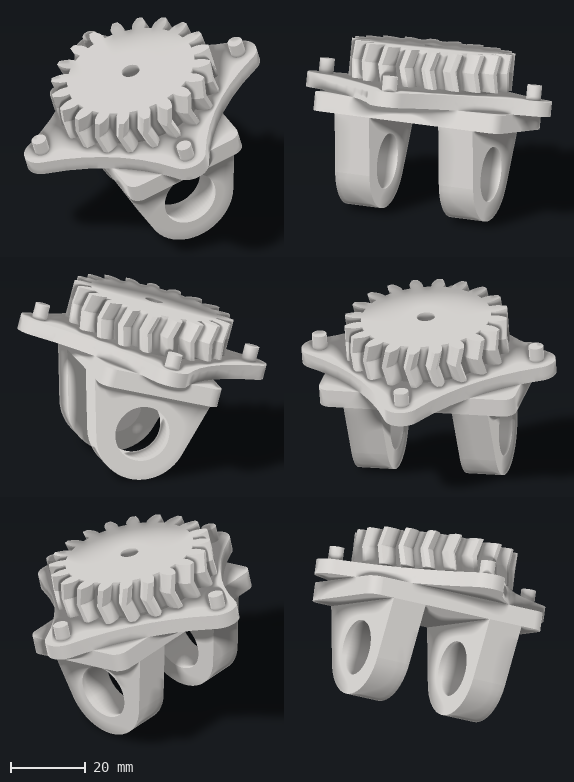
import cadquery as cq
import math

overall_span = 69.95
tilt_angle = 15.0
plate_bottom = 17.35

plate_thickness = 4.0
tip_radius = 5.05
side_arc_radius = 59.95
tip_offset = overall_span / 2 - tip_radius
arm_count = 4

pin_diameter = 4.0
pin_height = 4.0

block_length = 54.15
block_width = 33.8
block_height = 5.0
block_corner_radius = 3.15

lug_radius = 12.7
lug_hole_diameter = 15.0
lug_thickness = 9.9
lug_gap = 20.0

tooth_count = 20
root_diameter = 35.0
gear_height = 10.0
pressure_angle = 20.0
helix_angle = 15.0
hub_diameter = 34.0
hub_height = 1.0
bore_diameter = 5.0
bore_depth = 6.0
addendum_factor = 1.0
dedendum_factor = 1.25
flank_points = 5

module = root_diameter / (tooth_count - 2 * dedendum_factor)
pitch_radius = module * tooth_count / 2
outer_radius = pitch_radius + addendum_factor * module
root_radius = root_diameter / 2
base_radius = pitch_radius * math.cos(math.radians(pressure_angle))

plate_top = plate_bottom + plate_thickness
block_bottom = plate_bottom - block_height
gear_bottom = plate_top + hub_height


def polar(radius, angle):
    """Point at a radius and an angle in radians."""
    return (radius * math.cos(angle), radius * math.sin(angle))


def star_plate():
    """Four-pointed plate with round tips joined by concave arcs tangent to them."""
    centre_distance = tip_radius + side_arc_radius
    half_chord = tip_offset / math.sqrt(2)
    diagonal = half_chord + math.sqrt(centre_distance**2 - half_chord**2)
    arc_centre = diagonal / math.sqrt(2)
    tangent_angle = math.atan2(arc_centre, arc_centre - tip_offset)
    tangent_x, tangent_y = polar(tip_radius, tangent_angle)
    quarter = 2 * math.pi / arm_count

    def turned(x, y, index):
        return polar(math.hypot(x, y), math.atan2(y, x) + index * quarter)

    outline = cq.Workplane("XY", origin=(0, 0, plate_bottom)).moveTo(tip_offset + tangent_x, -tangent_y)
    side_middle = (diagonal - side_arc_radius) / math.sqrt(2)
    for index in range(arm_count):
        outline = outline.threePointArc(
            turned(tip_offset + tip_radius, 0, index),
            turned(tip_offset + tangent_x, tangent_y, index),
        )
        outline = outline.threePointArc(
            turned(side_middle, side_middle, index),
            turned(tip_offset + tangent_x, -tangent_y, index + 1),
        )
    return outline.close().extrude(plate_thickness)


def plate_pins():
    """One pin standing on each plate tip."""
    return (
        cq.Workplane("XY", origin=(0, 0, plate_top))
        .polarArray(tip_offset, 0, 360, arm_count)
        .circle(pin_diameter / 2)
        .extrude(pin_height)
    )


def mounting_block():
    """Rectangular block with rounded upright corners."""
    return (
        cq.Workplane("XY", origin=(0, 0, block_bottom))
        .rect(block_length, block_width)
        .extrude(block_height)
        .edges("|Z")
        .fillet(block_corner_radius)
    )


def pivot_lug(start_x):
    """Round-ended lug whose straight sides run from the block edges, tangent to the round end."""
    half_width = block_width / 2
    corner_distance = math.hypot(half_width, block_bottom)
    corner_angle = math.atan2(block_bottom, half_width)
    tangent_angle = corner_angle - math.acos(lug_radius / corner_distance)
    tangent_y, tangent_z = polar(lug_radius, tangent_angle)
    return (
        cq.Workplane("YZ", origin=(start_x, 0, 0))
        .moveTo(half_width, block_bottom)
        .lineTo(tangent_y, tangent_z)
        .threePointArc((0, -lug_radius), (-tangent_y, tangent_z))
        .lineTo(-half_width, block_bottom)
        .close()
        .moveTo(0, 0)
        .circle(lug_hole_diameter / 2)
        .extrude(lug_thickness)
    )


def make_mount():
    """Star plate, pins, block and both lugs as one solid."""
    mount = star_plate().union(plate_pins()).union(mounting_block())
    for start_x in (lug_gap / 2, -lug_gap / 2 - lug_thickness):
        mount = mount.union(pivot_lug(start_x))
    return mount


def involute(angle):
    """Involute function of a pressure angle in radians."""
    return math.tan(angle) - angle


def tooth_flank():
    """Points (radius, angle from the tooth centre line) along one involute flank."""
    half_tooth = math.pi / (2 * tooth_count) + involute(math.radians(pressure_angle))
    flank = []
    for step in range(flank_points):
        radius = base_radius + (outer_radius - base_radius) * step / (flank_points - 1)
        flank.append((radius, half_tooth - involute(math.acos(base_radius / radius))))
    return flank


def gear_outline(workplane):
    """Involute teeth with radial stretches below the base circle and arcs at tips and roots."""
    flank = tooth_flank()
    base_angle = flank[0][1]
    pitch_angle = 2 * math.pi / tooth_count
    outline = workplane.moveTo(*polar(root_radius, -base_angle))
    for index in range(tooth_count):
        centre = index * pitch_angle
        rising = [polar(radius, centre - angle) for radius, angle in flank]
        falling = [polar(radius, centre + angle) for radius, angle in reversed(flank)]
        outline = outline.lineTo(*rising[0]).spline(rising[1:], includeCurrent=True)
        outline = outline.threePointArc(polar(outer_radius, centre), falling[0])
        outline = outline.spline(falling[1:], includeCurrent=True)
        outline = outline.lineTo(*polar(root_radius, centre + base_angle))
        outline = outline.threePointArc(
            polar(root_radius, centre + pitch_angle / 2),
            polar(root_radius, centre + pitch_angle - base_angle),
        )
    return outline.close()


def make_gear():
    """Herringbone gear from two mirrored twisted halves, on a hub resting on the plate."""
    half_height = gear_height / 2
    twist = math.degrees(half_height * math.tan(math.radians(helix_angle)) / pitch_radius)
    upper = gear_outline(cq.Workplane("XY")).twistExtrude(half_height, twist)
    lower = upper.mirror("XY")
    gear = upper.union(lower).translate((0, 0, gear_bottom + half_height))
    hub = cq.Workplane("XY", origin=(0, 0, plate_top)).circle(hub_diameter / 2).extrude(hub_height)
    bore = (
        cq.Workplane("XY", origin=(0, 0, gear_bottom + gear_height))
        .circle(bore_diameter / 2)
        .extrude(-bore_depth)
    )
    return gear.union(hub).cut(bore)


def lean(body):
    """Tilt a body about the pivot axis."""
    return body.rotate((0, 0, 0), (1, 0, 0), tilt_angle)


mount = lean(make_mount())
gear = lean(make_gear())
result = cq.Compound.makeCompound([mount.val(), gear.val()])